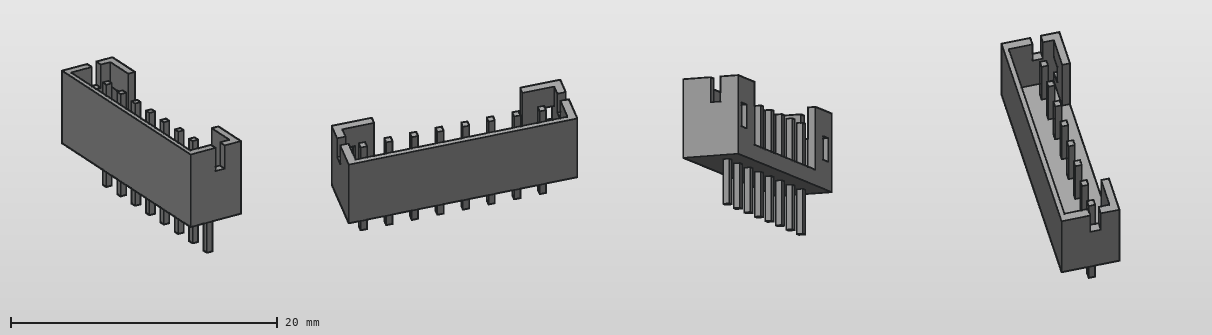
import cadquery as cq


housing_length = 17.9
housing_depth = 4.5
housing_height = 6.0
end_wall = 0.66
front_wall = 0.4
back_wall = 0.6
floor_thickness = 1.2

back_gap_length = 11.6
end_slot_width = 0.8
end_slot_depth = 1.92
window_width = 1.0
window_bottom = 2.2
window_top = 4.01

pin_count = 8
pin_row_length = 14.02
pin_size = 0.5
pin_tail = 3.4
pin_to_back_face = 1.7
pin_tip_below_rim = 0.95

pin_pitch = pin_row_length / (pin_count - 1)
back_face_y = pin_to_back_face
front_face_y = back_face_y - housing_depth
back_wall_inner_y = back_face_y - back_wall
cavity_half_length = housing_length / 2 - end_wall


def block(x_range, y_range, z_range):
    """Axis-aligned box between the given limits."""
    (x0, x1), (y0, y1), (z0, z1) = x_range, y_range, z_range
    return cq.Workplane("XY").box(x1 - x0, y1 - y0, z1 - z0, centered=False).translate((x0, y0, z0))


def centered_range(size):
    return (-size / 2, size / 2)


def make_shell():
    """Open-topped box with a solid floor."""
    outer = block(centered_range(housing_length), (front_face_y, back_face_y), (0, housing_height))
    cavity = block(
        centered_range(2 * cavity_half_length),
        (front_face_y + front_wall, back_wall_inner_y),
        (floor_thickness, housing_height),
    )
    return outer.cut(cavity)


def make_back_gap():
    """Wide opening in the back wall, down to the floor."""
    return block(
        centered_range(back_gap_length),
        (back_wall_inner_y, back_face_y),
        (floor_thickness, housing_height),
    )


def make_end_slots():
    """Slot through both end walls, one side flush with the back faces of the pins."""
    slot_back_y = pin_size / 2
    return block(
        centered_range(housing_length),
        (slot_back_y - end_slot_width, slot_back_y),
        (housing_height - end_slot_depth, housing_height),
    )


def make_back_windows():
    """Small windows through the back wall, one against each end wall."""
    right = block(
        (cavity_half_length - window_width, cavity_half_length),
        (back_wall_inner_y, back_face_y),
        (window_bottom, window_top),
    )
    return right.union(right.mirror("YZ"))


def make_pin(index):
    """Square pin running from its tail below the floor to its tip inside the cavity."""
    pin = block(
        centered_range(pin_size),
        centered_range(pin_size),
        (-pin_tail, housing_height - pin_tip_below_rim),
    )
    return pin.translate((index * pin_pitch - pin_row_length / 2, 0, 0))


result = make_shell().cut(make_back_gap()).cut(make_end_slots()).cut(make_back_windows())
for pin_index in range(pin_count):
    result = result.union(make_pin(pin_index))